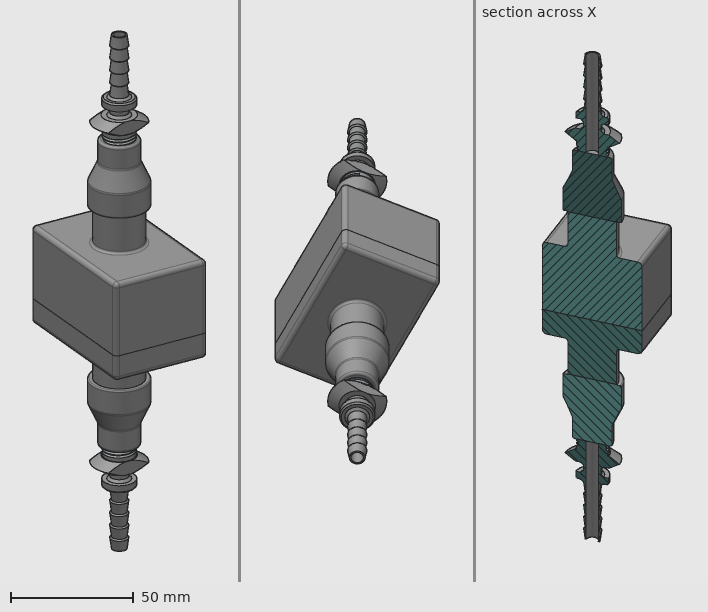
import cadquery as cq

overall_height = 231.8
tip_z = overall_height / 2

pick_margin = 0.2

case_length = 66.0
case_width = 44.0
case_height = 44.0
case_top_z = case_height / 2
case_edge_radius = 2.0
lid_height = 11.4
split_z = -case_top_z + lid_height

stub_radius = 11.0
stub_end_z = 39.0
stub_fillet = 1.2

sleeve_radius = 13.0
sleeve_cone_start_z = 49.8
sleeve_neck_radius = 8.8
sleeve_cone_end_z = 59.0
sleeve_top_z = 69.0
sleeve_edge_radius = 1.2
sleeve_foot_radius = 0.58
sleeve_cone_blend = 1.9

thread_radius = 7.0
thread_depth = 1.0
thread_pitch = 1.5
thread_turns = 2.2
thread_groove_width = 1.2
thread_start_z = sleeve_top_z - thread_pitch / 6
thread_start_angle = 90
groove_overshoot = 0.05

wing_mid_z = 76.7
wing_half_height = 3.0
wing_rim_radius = 12.0
wing_face_radius = 7.5
wing_thickness = 14.5

neck_radius = 4.0
flare_radius = 5.0
neck_flare_height = 1.2
flange_radius = 7.2
flange_bottom_z = 84.5
flange_top_z = 87.9
flange_chamfer = 0.7

barb_count = 5
barb_pitch = 5.5
barb_small_radius = 3.2
barb_large_radius = 4.0
barb_back_height = 0.58
lowest_barb_z = 88.8
tip_radius = 3.2
bore_radius = 2.5


def turn_upside_down(body):
    """Copy of a body half a turn about the X axis, for the lower end."""
    return body.rotate((0, 0, 0), (1, 0, 0), 180)


def make_block():
    """Rounded housing block with both pipe stubs, before it is split."""
    block = cq.Workplane("XY").box(case_length, case_width, case_height)
    block = block.edges().fillet(case_edge_radius)
    for direction in (1, -1):
        stub = (
            cq.Workplane("XY", origin=(0, 0, direction * case_top_z))
            .circle(stub_radius)
            .extrude(direction * (stub_end_z - case_top_z))
        )
        block = block.union(stub)
        stub_foot = cq.selectors.BoxSelector(
            (-stub_radius, -stub_radius, direction * case_top_z - pick_margin),
            (stub_radius, stub_radius, direction * case_top_z + pick_margin),
        )
        block = block.edges("%CIRCLE").edges(stub_foot).fillet(stub_fillet)
    return block


def split_block(block):
    """Case above and lid below the split plane."""
    cutting = block.copyWorkplane(cq.Workplane("XY", origin=(0, 0, split_z)))
    return cutting.split(keepTop=True), cutting.split(keepBottom=True)


def make_sleeve():
    """Stepped cone with softened ends and blended cone edges."""
    cone_ends = cq.selectors.BoxSelector(
        (-sleeve_radius, -sleeve_radius, sleeve_cone_start_z - pick_margin),
        (sleeve_radius, sleeve_radius, sleeve_cone_end_z + pick_margin),
    )
    sleeve = (
        cq.Workplane("XZ")
        .moveTo(0, stub_end_z)
        .lineTo(sleeve_radius, stub_end_z)
        .lineTo(sleeve_radius, sleeve_cone_start_z)
        .lineTo(sleeve_neck_radius, sleeve_cone_end_z)
        .lineTo(sleeve_neck_radius, sleeve_top_z)
        .lineTo(0, sleeve_top_z)
        .close()
        .revolve()
    )
    sleeve = sleeve.faces(">Z").edges().fillet(sleeve_edge_radius)
    sleeve = sleeve.faces("<Z").edges().fillet(sleeve_foot_radius)
    return sleeve.edges("%CIRCLE").edges(cone_ends).fillet(sleeve_cone_blend)


def make_thread_groove():
    """Helical V-groove that forms the thread."""
    helix = cq.Wire.makeHelix(
        thread_pitch, thread_pitch * thread_turns, thread_radius, cq.Vector(0, 0, thread_start_z)
    )
    return (
        cq.Workplane("XZ", origin=(0, 0, thread_start_z))
        .moveTo(thread_radius - thread_depth, 0)
        .lineTo(thread_radius + groove_overshoot, thread_groove_width / 2)
        .lineTo(thread_radius + groove_overshoot, -thread_groove_width / 2)
        .close()
        .sweep(cq.Workplane(helix), isFrenet=True)
        .rotate((0, 0, 0), (0, 0, 1), thread_start_angle)
    )


def make_wing():
    """Double cone cut to a slab of the wing thickness."""
    top_z = wing_mid_z + wing_half_height
    bottom_z = wing_mid_z - wing_half_height
    disc = (
        cq.Workplane("XZ")
        .moveTo(0, bottom_z)
        .lineTo(wing_face_radius, bottom_z)
        .lineTo(wing_rim_radius, wing_mid_z)
        .lineTo(wing_face_radius, top_z)
        .lineTo(0, top_z)
        .close()
        .revolve()
    )
    slab = cq.Workplane("XY", origin=(0, 0, wing_mid_z)).box(
        wing_thickness, 2 * wing_rim_radius, 2 * wing_half_height
    )
    return disc.intersect(slab)


def make_barb_stem():
    """Neck, flange and barbed hose tail, from the wing up to the tip."""
    wing_top_z = wing_mid_z + wing_half_height
    profile = (
        cq.Workplane("XZ")
        .moveTo(0, wing_mid_z)
        .lineTo(flare_radius, wing_mid_z)
        .lineTo(flare_radius, wing_top_z)
        .lineTo(neck_radius, wing_top_z + neck_flare_height)
        .lineTo(neck_radius, flange_bottom_z - neck_flare_height)
        .lineTo(flare_radius, flange_bottom_z)
        .lineTo(flange_radius, flange_bottom_z)
        .lineTo(flange_radius, flange_top_z - flange_chamfer)
        .lineTo(flange_radius - flange_chamfer, flange_top_z)
        .lineTo(flare_radius, flange_top_z)
        .lineTo(barb_large_radius, lowest_barb_z)
    )
    for barb in range(1, barb_count):
        ridge_z = lowest_barb_z + barb * barb_pitch
        profile = profile.lineTo(barb_small_radius, ridge_z - barb_back_height)
        profile = profile.lineTo(barb_large_radius, ridge_z)
    return profile.lineTo(tip_radius, tip_z).lineTo(0, tip_z).close().revolve()


def make_fitting():
    """Threaded root, wing and barbed stem as one bored body."""
    root = (
        cq.Workplane("XY", origin=(0, 0, sleeve_top_z))
        .circle(thread_radius)
        .extrude(wing_mid_z - sleeve_top_z)
        .cut(make_thread_groove())
    )
    bore = (
        cq.Workplane("XY", origin=(0, 0, sleeve_top_z))
        .circle(bore_radius)
        .extrude(tip_z - sleeve_top_z)
    )
    return root.union(make_wing()).union(make_barb_stem()).cut(bore)


case, lid = split_block(make_block())
bodies = [case.val(), lid.val()]
for end_body in (make_sleeve(), make_fitting()):
    bodies.append(end_body.val())
    bodies.append(turn_upside_down(end_body).val())
result = cq.Compound.makeCompound(bodies)